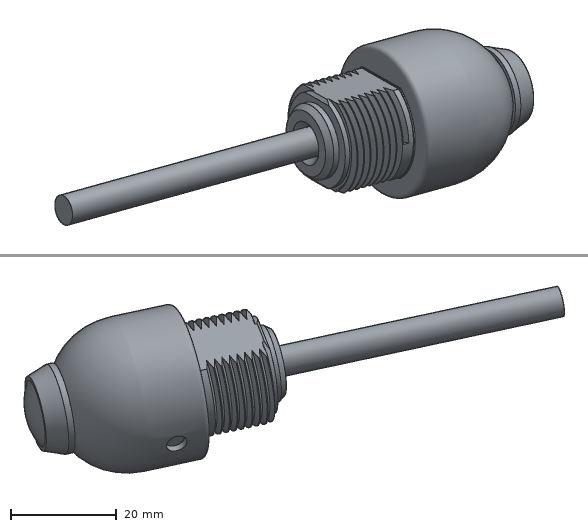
import cadquery as cq
import math


total_length = 105.3
housing_diameter = 30.0

housing_radius = housing_diameter / 2
housing_straight = 12.1
housing_edge_fillet = 1.0
side_hole_radius = 2.0
side_hole_offset = 6.6
side_hole_depth = 1.5

button_top = 31.9
button_radius = 8.7
button_rim_radius = 7.3
crown_base_radius = 6.4
crown_height = 1.8
button_taper_length = 4.0
button_band_length = 1.3

thread_radius = 11.1
thread_root_radius = 10.0
thread_turns = 8.4
thread_crest_width = 0.2
groove_clearance = 0.2
shank_plain_length = 1.4
shank_length = 13.9
thread_length = shank_length - shank_plain_length
thread_pitch = thread_length / thread_turns
shoulder_length = 0.3
shoulder_overhang = 0.16
collar_radius = 9.5
collar_length = 1.1
flat_distance = 9.2
flat_edge_chamfer = 0.6

gland_radius = 7.5
gland_length = 2.5
gland_bevel_length = 1.3
gland_bevel_width = 1.0
gland_mouth_radius = 4.3
cable_radius = 3.0
mouth_depth = 1.6

rim_level = button_top - crown_height
band_level = rim_level - button_taper_length
button_base = band_level - button_band_length
collar_level = -shank_length
collar_end = collar_level - collar_length
gland_end = collar_end - gland_length
cable_end = button_top - total_length


def cylinder(radius, start, end):
    """Solid cylinder on the Y axis between two levels, start being the lower."""
    return cq.Workplane("XZ", origin=(0, end, 0)).circle(radius).extrude(end - start)


def make_housing():
    """Cylinder with a hemispherical top, a rounded lower edge and a blind side hole."""
    arc_point = housing_radius * math.sqrt(0.5)
    housing = (
        cq.Workplane("XY")
        .lineTo(housing_radius, 0)
        .lineTo(housing_radius, housing_straight)
        .threePointArc((arc_point, housing_straight + arc_point), (0, housing_straight + housing_radius))
        .close()
        .revolve(360, (0, 0, 0), (0, 1, 0))
        .faces("<Y").edges().fillet(housing_edge_fillet)
    )
    side_hole = (
        cq.Workplane("YZ", origin=(-housing_radius, 0, 0))
        .center(side_hole_offset, 0)
        .circle(side_hole_radius)
        .extrude(side_hole_depth)
    )
    return housing.cut(side_hole)


def make_button():
    """Tapered button with a shallow spherical crown inside its rim, its foot sunk into the housing."""
    crown_sphere_radius = (crown_base_radius**2 + crown_height**2) / (2 * crown_height)
    mid_radius = crown_base_radius / 2
    mid_level = button_top - crown_sphere_radius + math.sqrt(crown_sphere_radius**2 - mid_radius**2)
    return (
        cq.Workplane("XY")
        .moveTo(0, housing_straight)
        .lineTo(button_rim_radius, housing_straight)
        .lineTo(button_rim_radius, button_base)
        .lineTo(button_radius, button_base)
        .lineTo(button_radius, band_level)
        .lineTo(button_rim_radius, rim_level)
        .lineTo(crown_base_radius, rim_level)
        .threePointArc((mid_radius, mid_level), (0, button_top))
        .close()
        .revolve(360, (0, 0, 0), (0, 1, 0))
    )


def make_thread_groove():
    """Helical V groove running from the plain neck out past the end of the thread."""
    depth = thread_radius - thread_root_radius
    half_width = (thread_pitch - thread_crest_width) / 2
    outer_half_width = half_width * (depth + groove_clearance) / depth
    helix = cq.Wire.makeHelix(thread_pitch, thread_length, thread_root_radius)
    groove = (
        cq.Workplane("XZ")
        .moveTo(thread_root_radius, 0)
        .lineTo(thread_radius + groove_clearance, outer_half_width)
        .lineTo(thread_radius + groove_clearance, -outer_half_width)
        .close()
        .sweep(cq.Workplane(helix), isFrenet=True)
    )
    groove_start = -shank_plain_length - half_width
    return groove.rotate((0, 0, 0), (1, 0, 0), 90).translate((0, groove_start, 0))


def make_flats(half_height, start, end):
    """Block between two levels whose upper and lower faces are the flats."""
    middle = (start + end) / 2
    return cq.Workplane("XY", origin=(0, middle, 0)).box(2 * housing_radius, end - start, 2 * half_height)


def make_shank():
    """Threaded shank and end collar with two flats across Z."""
    blank = cylinder(thread_radius, collar_level - 2 * thread_pitch, 0)
    thread = blank.cut(make_thread_groove()).intersect(make_flats(flat_distance, collar_level, 0))
    collar_flats = make_flats(flat_distance, collar_end, collar_level)
    collar_flats = collar_flats.faces("<Y").edges("|X").chamfer(flat_edge_chamfer)
    collar = cylinder(collar_radius, collar_end, collar_level).intersect(collar_flats)
    shoulder_flats = make_flats(flat_distance + shoulder_overhang, -shoulder_length, 0)
    shoulder = cylinder(thread_radius + shoulder_overhang, -shoulder_length, 0).intersect(shoulder_flats)
    return thread.union(collar).union(shoulder)


def make_gland():
    """Cable gland with a bevelled end and a conical mouth around the cable."""
    gland = cylinder(gland_radius, gland_end, collar_end)
    gland = gland.faces("<Y").edges().chamfer(gland_bevel_length, gland_bevel_width)
    mouth = (
        cq.Workplane("XY")
        .moveTo(0, gland_end)
        .lineTo(gland_mouth_radius, gland_end)
        .lineTo(cable_radius, gland_end + mouth_depth)
        .lineTo(0, gland_end + mouth_depth)
        .close()
        .revolve(360, (0, 0, 0), (0, 1, 0))
    )
    return gland.cut(mouth)


result = (
    make_housing()
    .union(make_button())
    .union(make_shank())
    .union(make_gland())
    .union(cylinder(cable_radius, cable_end, collar_end))
)